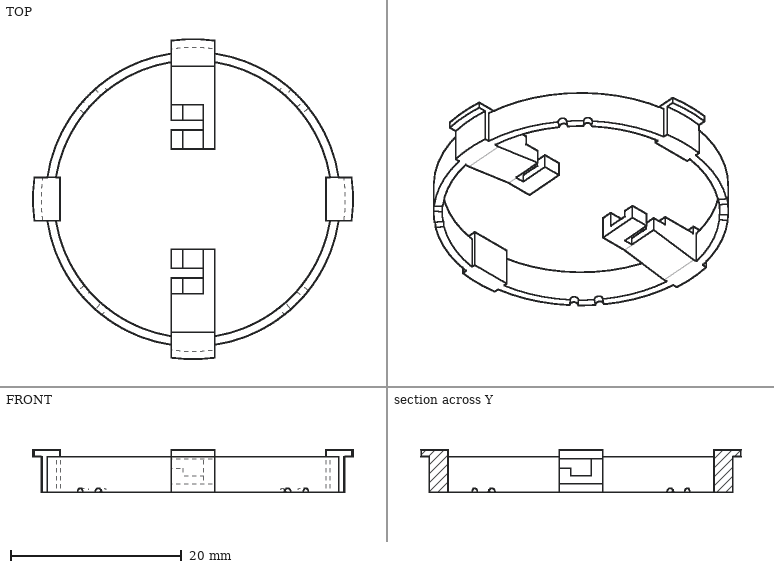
import cadquery as cq

TOTAL_HEIGHT = 5.0
PAD_THICKNESS = 0.8
RING_HEIGHT = TOTAL_HEIGHT - PAD_THICKNESS
RING_OUTER_RADIUS = 17.25
RING_INNER_RADIUS = 16.23

PAD_OUTER_RADIUS = 18.75
PILLAR_OUTER_RADIUS = 17.8
BLOCK_INNER_FACE = 15.55
BLOCK_WIDTH = 5.1
BLOCK_ANGLES = (0, 90, 180, 270)

ARM_BOTTOM = 1.0
ARM_TOP = TOTAL_HEIGHT - 1.0
ARM_TIP = 5.85
POCKET_START = 11.05
SLOT_OUTER = 9.22
SLOT_INNER = 8.1
WALL_THICKNESS = 1.35
LIP_TOP = 2.8
FLOOR_TOP = 2.0

NOTCH_RADIUS = 0.5
NOTCH_PAIR_ANGLES = (45, 135, 225, 315)
NOTCH_HALF_SPREAD = 5

HALF_WIDTH = BLOCK_WIDTH / 2
WALL_INNER_FACE = HALF_WIDTH - WALL_THICKNESS
LIP_INNER_FACE = WALL_THICKNESS - HALF_WIDTH


def box_between(x_range, y_range, z_range):
    """Box spanning the given (low, high) ranges."""
    spans = [high - low for low, high in (x_range, y_range, z_range)]
    corner = (x_range[0], y_range[0], z_range[0])
    return cq.Workplane("XY").box(*spans, centered=False).translate(corner)


def round_ended_block(outer_radius, bottom, top):
    """Block on the +X side, flat inside and rounded about the Z axis outside."""
    bar = box_between((BLOCK_INNER_FACE, outer_radius), (-HALF_WIDTH, HALF_WIDTH), (bottom, top))
    return bar.intersect(cq.Workplane("XY").circle(outer_radius).extrude(TOTAL_HEIGHT))


def make_ring():
    ring = cq.Workplane("XY").circle(RING_OUTER_RADIUS).circle(RING_INNER_RADIUS).extrude(RING_HEIGHT)
    notch = cq.Workplane("YZ").circle(NOTCH_RADIUS).extrude(PAD_OUTER_RADIUS)
    for pair_angle in NOTCH_PAIR_ANGLES:
        for offset in (-NOTCH_HALF_SPREAD, NOTCH_HALF_SPREAD):
            ring = ring.cut(notch.rotate((0, 0, 0), (0, 0, 1), pair_angle + offset))
    return ring


def make_block():
    pillar = round_ended_block(PILLAR_OUTER_RADIUS, 0, RING_HEIGHT)
    pad = round_ended_block(PAD_OUTER_RADIUS, RING_HEIGHT, TOTAL_HEIGHT)
    return pillar.union(pad)


def make_arm():
    """Arm on the +Y side; its underside slopes down to the foot of the pillar."""
    side_profile = [
        (BLOCK_INNER_FACE, 0),
        (BLOCK_INNER_FACE, ARM_TOP),
        (ARM_TIP, ARM_TOP),
        (ARM_TIP, ARM_BOTTOM),
        (SLOT_OUTER, ARM_BOTTOM),
    ]
    arm = cq.Workplane("YZ").polyline(side_profile).close().extrude(HALF_WIDTH, both=True)

    pocket_length = (ARM_TIP, POCKET_START)
    above_lip = box_between((-HALF_WIDTH, WALL_INNER_FACE), pocket_length, (LIP_TOP, ARM_TOP))
    above_floor = box_between((LIP_INNER_FACE, WALL_INNER_FACE), pocket_length, (FLOOR_TOP, ARM_TOP))
    slot = box_between((-HALF_WIDTH, WALL_INNER_FACE), (SLOT_INNER, SLOT_OUTER), (0, ARM_TOP))
    return arm.cut(above_lip).cut(above_floor).cut(slot)


result = make_ring()
block = make_block()
for angle in BLOCK_ANGLES:
    result = result.union(block.rotate((0, 0, 0), (0, 0, 1), angle))

arm = make_arm()
result = result.union(arm).union(arm.mirror("XZ"))